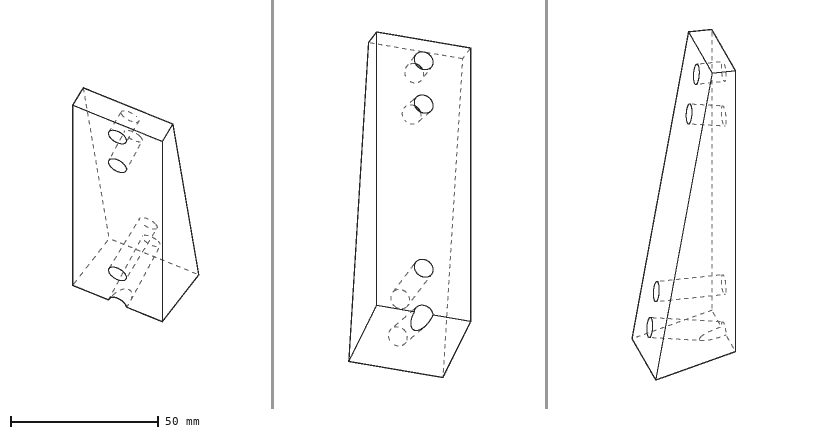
import cadquery as cq
import math

width = 34.0
depth = 27.9
height = 113.0
top_depth = 8.1
front_bottom = 7.6

hole_diameter = 6.8
straight_hole_heights = (105.0, 25.0)
tilted_hole_heights = (88.3, 7.2)

back_tilt = math.atan((depth - top_depth) / height)

profile = [
    (0, front_bottom),
    (0, height),
    (top_depth, height),
    (depth, 0),
]
wedge = (
    cq.Workplane("YZ")
    .polyline(profile)
    .close()
    .extrude(width / 2, both=True)
)


def hole_cutter(front_height, tilt):
    """Long cylinder crossing the front face, rising toward the back by tilt."""
    direction = cq.Vector(0, math.cos(tilt), math.sin(tilt))
    start = cq.Vector(0, 0, front_height) - direction * depth
    return cq.Solid.makeCylinder(hole_diameter / 2, 3 * depth, start, direction)


result = wedge
for hole_height in straight_hole_heights:
    result = result.cut(hole_cutter(hole_height, 0))
for hole_height in tilted_hole_heights:
    result = result.cut(hole_cutter(hole_height, back_tilt))